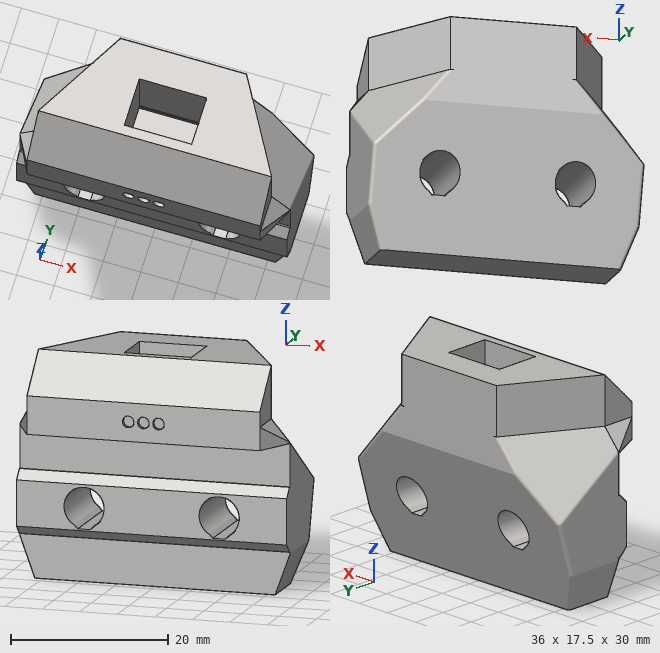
import cadquery as cq
import math

width = 36.0
height = 30.0
body_depth = 12.5
base_width = 32.0
base_depth = 7.05
side_bottom_z = 5.47
back_knee_z = 18.65
edge_radius = 0.5

head_front_width = 31.05
head_back_width = 16.78
shoulder_top_z = 23.0
shoulder_corner_z = 20.1

nose_reach = 5.0
nose_bottom_z = 19.95

rail_center_z = 10.0
rail_root_height = 8.5
rail_reach = 1.45
rail_chamfer = 1.22

mount_spacing = 18.0
mount_diameter = 5.33
mount_flat_drop = 2.8
mount_flat_width = 1.65

pocket_width = 8.95
pocket_front_y = 1.3
pocket_back_y = 7.9
pocket_depth = 10.0
ledge_depth = 0.15
ledge_height = 0.5
slot_width = 0.15
slot_length = 0.75
slot_depth = 0.5
slot_spacing = 8.05
slot_center_y = 2.25

recess_diameter = 1.5
recess_pitch = 2.0
recess_depth = 0.5
recess_z = 22.5

half_width = width / 2
half_head_front = head_front_width / 2
half_head_back = head_back_width / 2


def mirrored(shape):
    """The same shape on the opposite X side."""
    return shape.mirror("YZ")


def make_block():
    """Front silhouette with narrowed base, crossed with the sloped back profile."""
    half_base = base_width / 2
    silhouette = (
        cq.Workplane("XZ")
        .polyline([
            (-half_base, 0),
            (half_base, 0),
            (half_width, side_bottom_z),
            (half_width, shoulder_top_z),
            (-half_width, shoulder_top_z),
            (-half_width, side_bottom_z),
        ])
        .close()
        .extrude(-body_depth)
    )
    back_profile = (
        cq.Workplane("YZ")
        .polyline([
            (0, 0),
            (base_depth, 0),
            (body_depth, back_knee_z),
            (body_depth, shoulder_top_z),
            (0, shoulder_top_z),
        ])
        .close()
        .extrude(half_width, both=True)
    )
    return silhouette.intersect(back_profile)


def make_shoulder_cutter():
    """Wedge above the +X shoulder plane, swept along the tapered side of the head."""
    taper = (half_head_front - half_head_back) / body_depth
    fall = (shoulder_top_z - shoulder_corner_z) / (half_width - half_head_front)
    wedge_width = width
    start_y = -body_depth
    sweep_length = 3 * body_depth
    start_x = half_head_front - taper * start_y
    wedge = cq.Wire.makePolygon([
        cq.Vector(start_x, start_y, shoulder_top_z),
        cq.Vector(start_x + wedge_width, start_y, shoulder_top_z - fall * wedge_width),
        cq.Vector(start_x + wedge_width, start_y, shoulder_top_z),
    ], close=True)
    sweep = cq.Vector(-taper * sweep_length, sweep_length, 0)
    return cq.Workplane(cq.Solid.extrudeLinear(wedge, [], sweep))


def is_rounded(edge):
    """True for the edges of the sides and shoulders that lie off the front, top and bottom."""
    tolerance = 0.005
    box = edge.BoundingBox()
    on_front = box.ymax < tolerance
    on_bottom = box.zmax < tolerance
    on_top = box.zmin > shoulder_top_z - tolerance
    crosses_middle = box.xmin < 0 < box.xmax
    return not (on_front or on_bottom or on_top or crosses_middle)


def make_body():
    cutter = make_shoulder_cutter()
    body = make_block().cut(cutter).cut(mirrored(cutter))
    rounded_edges = [edge for edge in body.edges().vals() if is_rounded(edge)]
    return body.newObject(rounded_edges).fillet(edge_radius)


def make_head():
    return (
        cq.Workplane("XY", origin=(0, 0, shoulder_top_z))
        .polyline([
            (-half_head_front, 0),
            (half_head_front, 0),
            (half_head_back, body_depth),
            (-half_head_back, body_depth),
        ])
        .close()
        .extrude(height - shoulder_top_z)
    )


def make_nose():
    """Overhang with a 45 degree slope down from the top edge of the head."""
    return (
        cq.Workplane("YZ")
        .polyline([
            (0, nose_bottom_z),
            (-nose_reach, nose_bottom_z),
            (-nose_reach, height - nose_reach),
            (0, height),
        ])
        .close()
        .extrude(half_head_front, both=True)
    )


def make_gusset():
    """Pyramid-like web joining the +X end of the nose to the corner of the shoulder."""
    tip_top = (half_head_front, -nose_reach, shoulder_top_z)
    tip_bottom = (half_head_front, -nose_reach, nose_bottom_z)
    root_top = (half_head_front, 0, shoulder_top_z)
    root_bottom = (half_head_front, 0, nose_bottom_z)
    corner_top = (half_width, 0, shoulder_corner_z)
    corner_bottom = (half_width, 0, nose_bottom_z)
    outlines = [
        [tip_top, tip_bottom, root_bottom, root_top],
        [tip_top, root_top, corner_top],
        [tip_top, tip_bottom, corner_top],
        [tip_bottom, corner_bottom, corner_top],
        [tip_bottom, root_bottom, corner_bottom],
        [root_top, root_bottom, corner_bottom, corner_top],
    ]
    faces = [cq.Face.makeFromWires(cq.Wire.makePolygon(points, close=True)) for points in outlines]
    return cq.Workplane(cq.Solid.makeSolid(cq.Shell.makeShell(faces)))


def make_rail():
    half_root = rail_root_height / 2
    half_crest = half_root - rail_chamfer
    rail_step = rail_reach - rail_chamfer
    return (
        cq.Workplane("YZ", origin=(0, 0, rail_center_z))
        .polyline([
            (0, -half_root),
            (-rail_step, -half_root),
            (-rail_reach, -half_crest),
            (-rail_reach, half_crest),
            (-rail_step, half_root),
            (0, half_root),
        ])
        .close()
        .extrude(half_width, both=True)
    )


def make_mount_hole(x):
    radius = mount_diameter / 2
    half_flat = mount_flat_width / 2
    side_sum = half_flat + mount_flat_drop
    side_gap = math.sqrt(2 * radius**2 - side_sum**2)
    drop = (side_sum + side_gap) / 2
    side_x = (side_sum - side_gap) / 2
    return (
        cq.Workplane("XZ", origin=(x, -nose_reach, rail_center_z))
        .moveTo(-side_x, -drop)
        .threePointArc((0, radius), (side_x, -drop))
        .lineTo(half_flat, -mount_flat_drop)
        .lineTo(-half_flat, -mount_flat_drop)
        .close()
        .extrude(-(nose_reach + body_depth))
    )


def make_pocket():
    length = pocket_back_y - pocket_front_y
    floor_z = height - pocket_depth
    pocket = (
        cq.Workplane("XY", origin=(0, pocket_front_y + length / 2, floor_z))
        .rect(pocket_width, length)
        .extrude(pocket_depth)
    )
    ledge = (
        cq.Workplane("XY", origin=(0, pocket_back_y - ledge_depth / 2, floor_z))
        .rect(pocket_width, ledge_depth)
        .extrude(ledge_height)
    )
    slots = (
        cq.Workplane("XY", origin=(0, slot_center_y, floor_z))
        .pushPoints([(-slot_spacing / 2, 0), (slot_spacing / 2, 0)])
        .rect(slot_width, slot_length)
        .extrude(-slot_depth)
    )
    return pocket.cut(ledge).union(slots)


def make_recesses():
    return (
        cq.Workplane("XZ", origin=(0, -nose_reach, recess_z))
        .pushPoints([(step * recess_pitch, 0) for step in (-1, 0, 1)])
        .circle(recess_diameter / 2)
        .extrude(-recess_depth)
    )


gusset = make_gusset()
result = make_body().union(make_head()).union(make_nose()).union(make_rail())
result = result.union(gusset).union(mirrored(gusset))
for hole_x in (-mount_spacing / 2, mount_spacing / 2):
    result = result.cut(make_mount_hole(hole_x))
result = result.cut(make_pocket()).cut(make_recesses())